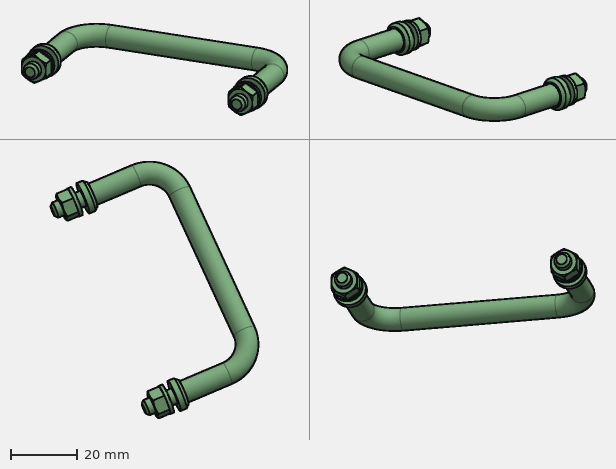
import cadquery as cq
import math

overall_width = 78.0
overall_depth = 41.0

bar_diameter = 7.0
bend_radius = 10.0
stud_diameter = 5.0
stud_length = 13.0
stud_chamfer = 0.85

collar_diameter = 10.0
collar_thickness = 3.05
collar_chamfer_length = 1.1
collar_chamfer_depth = 0.9

washer_diameter = 9.2
washer_thickness = 1.2
nut_across_flats = 7.95
nut_thickness = 4.0
nut_end = 2.8
nut_chamfer_angle = 30.0

leg_x = (overall_width - collar_diameter) / 2
grip_y = overall_depth - bar_diameter / 2
shoulder_y = stud_length
collar_y = shoulder_y - collar_thickness
washer_y = nut_end + nut_thickness
bend_y = grip_y - bend_radius
bend_x = leg_x - bend_radius
nut_across_corners = nut_across_flats / math.cos(math.radians(30))


def plane_at(x, y):
    """Plane across a leg, with its normal along +Y and its local x along +X."""
    return cq.Plane(origin=(x, y, 0), xDir=(1, 0, 0), normal=(0, 1, 0))


def cylinder(x, y, diameter, length):
    return cq.Workplane(plane_at(x, y)).circle(diameter / 2).extrude(length)


def make_handle():
    """U-shaped round bar with a chamfered stud on the end of each leg."""
    bend_mid = bend_radius * math.sin(math.radians(45))
    path = (
        cq.Workplane("XY")
        .moveTo(-leg_x, shoulder_y)
        .lineTo(-leg_x, bend_y)
        .threePointArc((-bend_x - bend_mid, bend_y + bend_mid), (-bend_x, grip_y))
        .lineTo(bend_x, grip_y)
        .threePointArc((bend_x + bend_mid, bend_y + bend_mid), (leg_x, bend_y))
        .lineTo(leg_x, shoulder_y)
    )
    handle = cq.Workplane(plane_at(-leg_x, shoulder_y)).circle(bar_diameter / 2).sweep(path)
    for x in (-leg_x, leg_x):
        stud = cylinder(x, 0, stud_diameter, stud_length).faces("<Y").chamfer(stud_chamfer)
        handle = handle.union(stud)
    return handle


def make_collar(x):
    """Ring around the stud, bevelled on the edge facing the leg."""
    blank = cylinder(x, collar_y, collar_diameter, collar_thickness)
    bevelled = blank.faces(">Y").edges().chamfer(collar_chamfer_length, collar_chamfer_depth)
    return bevelled.cut(cylinder(x, collar_y, stud_diameter, collar_thickness))


def make_washer(x):
    """Flat ring around the stud."""
    blank = cylinder(x, washer_y, washer_diameter, washer_thickness)
    return blank.cut(cylinder(x, washer_y, stud_diameter, washer_thickness))


def make_nut(x):
    """Hexagon nut with corners along Z, its outer corners trimmed by a cone."""
    hexagon = (
        cq.Workplane(plane_at(x, nut_end))
        .transformed(rotate=(0, 0, 90))
        .polygon(6, nut_across_corners)
        .extrude(nut_thickness)
    )
    corner_radius = nut_across_corners / 2
    face_radius = nut_across_flats / 2
    chamfer_length = (corner_radius - face_radius) * math.tan(math.radians(nut_chamfer_angle))
    envelope = (
        cylinder(x, nut_end, nut_across_corners, nut_thickness)
        .faces("<Y")
        .edges()
        .chamfer(chamfer_length, corner_radius - face_radius)
    )
    return hexagon.intersect(envelope).cut(cylinder(x, nut_end, stud_diameter, nut_thickness))


handle = make_handle()
bodies = [handle.solids().val()]
for leg in (-leg_x, leg_x):
    bodies.append(make_collar(leg).solids().val())
    bodies.append(make_washer(leg).solids().val())
    bodies.append(make_nut(leg).solids().val())

result = cq.Compound.makeCompound(bodies)